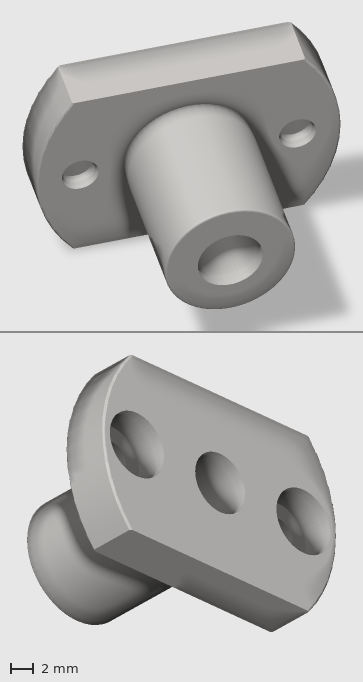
import cadquery as cq

flange_diameter = 28.0
flange_thickness = 5.0
flange_height = 18.0

overall_length = 19.0
sleeve_diameter = 12.0
bore_diameter = 6.0

screw_spacing = 20.0
screw_hole_diameter = 3.4
counterbore_diameter = 6.5
counterbore_depth = 3.3

edge_radius = 0.2


def make_flange():
    """Disc with rounded rims, trimmed by two flats so that only the arcs stay rounded."""
    disc = (
        cq.Workplane("YZ")
        .circle(flange_diameter / 2)
        .extrude(flange_thickness)
        .edges("%CIRCLE")
        .fillet(edge_radius)
    )
    trim = cq.Workplane("YZ").rect(flange_diameter, flange_height).extrude(flange_thickness)
    return disc.intersect(trim)


def make_sleeve():
    """Cylinder on the flange axis with a rounded free end."""
    return (
        cq.Workplane("YZ")
        .circle(sleeve_diameter / 2)
        .extrude(overall_length)
        .faces(">X")
        .edges()
        .fillet(edge_radius)
    )


def make_bore():
    """Through bore along the part axis."""
    return cq.Workplane("YZ").circle(bore_diameter / 2).extrude(overall_length)


def make_screw_hole(y):
    """Clearance hole through the flange with a counterbore for the screw head."""
    clearance = cq.Workplane("YZ").center(y, 0).circle(screw_hole_diameter / 2).extrude(flange_thickness)
    head = cq.Workplane("YZ").center(y, 0).circle(counterbore_diameter / 2).extrude(counterbore_depth)
    return clearance.union(head)


result = make_flange().union(make_sleeve()).cut(make_bore())
for side in (-1, 1):
    result = result.cut(make_screw_hole(side * screw_spacing / 2))